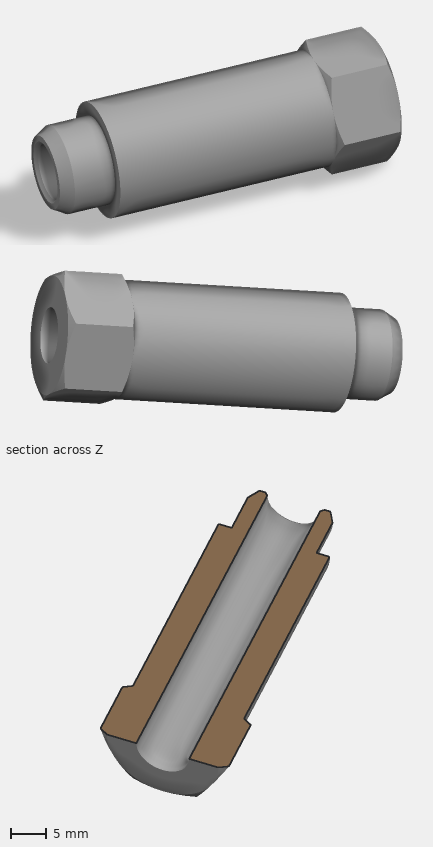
import cadquery as cq
import math

spigot_length = 8.0
body_length = 33.0
head_length = 10.0

head_sides = 6
across_flats = 17.0
body_diameter = across_flats
spigot_diameter = 13.0
bore_diameter = 8.0

head_bevel_angle = 30.0
spigot_taper_length = 1.875
spigot_taper_angle = 30.0
bore_chamfer = 0.5

shoulder_y = spigot_length
head_y = shoulder_y + body_length
end_y = head_y + head_length


def revolved(profile):
    """Revolve a closed (radius, y) outline about the Y axis."""
    return cq.Workplane("XY").polyline(profile).close().revolve(360, (0, 0, 0), (0, 1, 0))


def make_shank():
    """Body and spigot, with the tapered lead-in at the spigot tip."""
    spigot_radius = spigot_diameter / 2
    body_radius = body_diameter / 2
    taper_depth = spigot_taper_length * math.tan(math.radians(spigot_taper_angle))
    return revolved([
        (0, 0),
        (spigot_radius - taper_depth, 0),
        (spigot_radius, spigot_taper_length),
        (spigot_radius, shoulder_y),
        (body_radius, shoulder_y),
        (body_radius, head_y),
        (0, head_y),
    ])


def make_head():
    """Hexagon with flats facing +Z and -Z, its corners bevelled at both ends."""
    flat_radius = across_flats / 2
    corner_radius = flat_radius / math.cos(math.pi / head_sides)
    bevel_height = (corner_radius - flat_radius) * math.tan(math.radians(head_bevel_angle))
    hexagon = (
        cq.Workplane("XZ", origin=(0, head_y, 0))
        .polygon(head_sides, 2 * corner_radius)
        .extrude(-head_length)
    )
    bevel_envelope = revolved([
        (0, head_y),
        (flat_radius, head_y),
        (corner_radius, head_y + bevel_height),
        (corner_radius, end_y - bevel_height),
        (flat_radius, end_y),
        (0, end_y),
    ])
    return hexagon.intersect(bevel_envelope)


def make_bore():
    """Through bore, widened by a small chamfer at the spigot tip."""
    bore_radius = bore_diameter / 2
    return revolved([
        (0, 0),
        (bore_radius + bore_chamfer, 0),
        (bore_radius, bore_chamfer),
        (bore_radius, end_y),
        (0, end_y),
    ])


result = make_shank().union(make_head()).cut(make_bore())